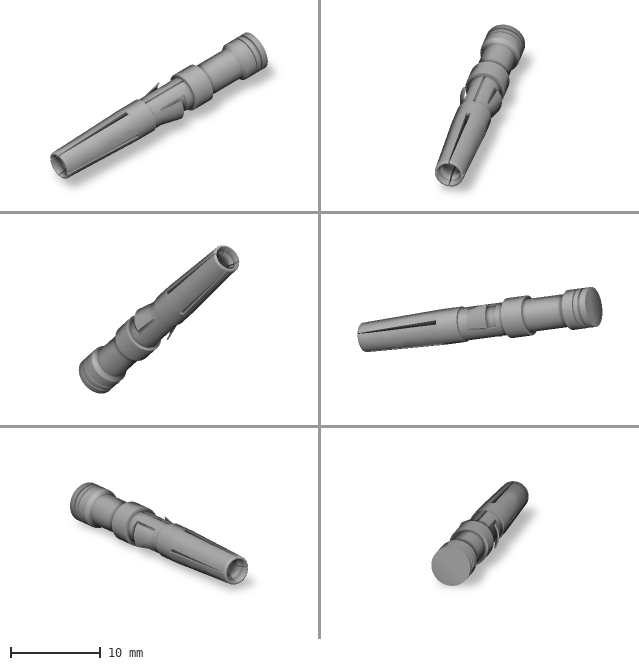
import cadquery as cq
import math

LENGTH = 28.5
TIP_Y = -LENGTH / 2
HEAD_Y = LENGTH / 2

CUT_MARGIN = 0.28

HEAD_RADIUS = 2.25
GROOVE_RADIUS = 2.02
SHANK_RADIUS = 1.85
CORE_RADIUS = 1.68
COLLAR_RADIUS = 2.0
NOSE_RADIUS = 1.65
NOSE_ROUNDING = 0.25

GROOVES = ((0.68, 0.28), (1.45, 0.17))
HEAD_END = 2.85
SHANK_START = 3.35
FLANGE_START = 7.92
FLANGE_END = 10.4
COLLAR_START = 16.02
COLLAR_END = 18.52

MOUTH_RADIUS = 1.4
THROAT_RADIUS = 1.28
MOUTH_DEPTH = 0.85
LEAD_IN_LENGTH = 0.57
BORE_RADIUS = 0.97
BORE_DEPTH = LENGTH - COLLAR_END
DRILL_POINT_ANGLE = 118.0

SLOT_ROOT_WIDTH = 0.5
SLOT_TIP_WIDTH = 0.1

CLIP_RADIUS = SHANK_RADIUS
CLIP_END_GAP = 0.09
CLIP_SLIT_WIDTH = 0.28
WINDOW_START = 11.37
WINDOW_END = 14.88
WINDOW_ANGLE = 90.0
BARB_START = 12.3
BARB_RADIUS = 2.4
BARB_ANGLE = 72.0


def station(distance):
    """Y position of a point at the given distance from the head face."""
    return HEAD_Y - distance


def revolved(points, angle=360.0):
    """Revolve a (radius, y) outline about Y, centred on the +X side."""
    solid = cq.Workplane("XY").polyline(points).close().revolve(angle, (0, 0, 0), (0, 1, 0))
    return solid.rotate((0, 0, 0), (0, 1, 0), -angle / 2)


def ring(outer, inner, start, end, angle=360.0):
    """Ring, or sector of one, between two stations."""
    return revolved(
        [
            (inner, station(start)),
            (outer, station(start)),
            (outer, station(end)),
            (inner, station(end)),
        ],
        angle,
    )


def turned_body():
    body = revolved(
        [
            (0, HEAD_Y),
            (HEAD_RADIUS, HEAD_Y),
            (HEAD_RADIUS, station(HEAD_END)),
            (SHANK_RADIUS, station(SHANK_START)),
            (SHANK_RADIUS, station(FLANGE_START)),
            (HEAD_RADIUS, station(FLANGE_START)),
            (HEAD_RADIUS, station(FLANGE_END)),
            (CORE_RADIUS, station(FLANGE_END)),
            (CORE_RADIUS, station(COLLAR_START)),
            (COLLAR_RADIUS, station(COLLAR_START)),
            (COLLAR_RADIUS, station(COLLAR_END)),
            (NOSE_RADIUS, TIP_Y),
            (0, TIP_Y),
        ]
    )
    body = body.faces("<Y").edges().fillet(NOSE_ROUNDING)
    for start, width in GROOVES:
        body = body.cut(ring(HEAD_RADIUS + CUT_MARGIN, GROOVE_RADIUS, start, start + width))
    return body


def socket_bore():
    """Blind drilled bore with a conical mouth that rounds smoothly into the bore wall."""
    bottom_y = TIP_Y + BORE_DEPTH
    point_height = BORE_RADIUS / math.tan(math.radians(DRILL_POINT_ANGLE / 2))
    throat_y = TIP_Y + MOUTH_DEPTH
    outline = (
        cq.Workplane("XY")
        .moveTo(0, bottom_y + point_height)
        .lineTo(BORE_RADIUS, bottom_y)
        .lineTo(BORE_RADIUS, throat_y + LEAD_IN_LENGTH)
        .tangentArcPoint((THROAT_RADIUS, throat_y), relative=False)
        .lineTo(MOUTH_RADIUS, TIP_Y)
        .lineTo(0, TIP_Y)
        .close()
    )
    return outline.revolve(360, (0, 0, 0), (0, 1, 0))


def finger_slot():
    """Tapered slot through the whole socket, widest at the collar."""
    root_y = station(COLLAR_END)
    return (
        cq.Workplane("XY")
        .polyline(
            [
                (-SLOT_ROOT_WIDTH / 2, root_y),
                (SLOT_ROOT_WIDTH / 2, root_y),
                (SLOT_TIP_WIDTH / 2, TIP_Y),
                (-SLOT_TIP_WIDTH / 2, TIP_Y),
            ]
        )
        .close()
        .extrude(COLLAR_RADIUS, both=True)
    )


def clip_sleeve():
    """Sleeve around the core, split along its top and pierced by a window on each side."""
    clip_end = COLLAR_START - CLIP_END_GAP
    sleeve = ring(CLIP_RADIUS, CORE_RADIUS, FLANGE_END, clip_end)
    slit = cq.Workplane("XY").box(CLIP_SLIT_WIDTH, LENGTH, CLIP_RADIUS, centered=(True, True, False))
    window = ring(CLIP_RADIUS + CUT_MARGIN, CORE_RADIUS, WINDOW_START, WINDOW_END, WINDOW_ANGLE)
    return sleeve.cut(slit).cut(window).cut(window.mirror("YZ"))


def barb():
    """Conical tongue rooted at the tip end of a window, flaring toward the head."""
    wall = CLIP_RADIUS - CORE_RADIUS
    return revolved(
        [
            (CORE_RADIUS, station(WINDOW_END)),
            (CLIP_RADIUS, station(WINDOW_END)),
            (BARB_RADIUS, station(BARB_START)),
            (BARB_RADIUS - wall, station(BARB_START)),
        ],
        BARB_ANGLE,
    )


body = turned_body().cut(socket_bore())
for turn in (0, 90):
    body = body.cut(finger_slot().rotate((0, 0, 0), (0, 1, 0), turn))

result = body.union(clip_sleeve()).union(barb()).union(barb().mirror("YZ"))